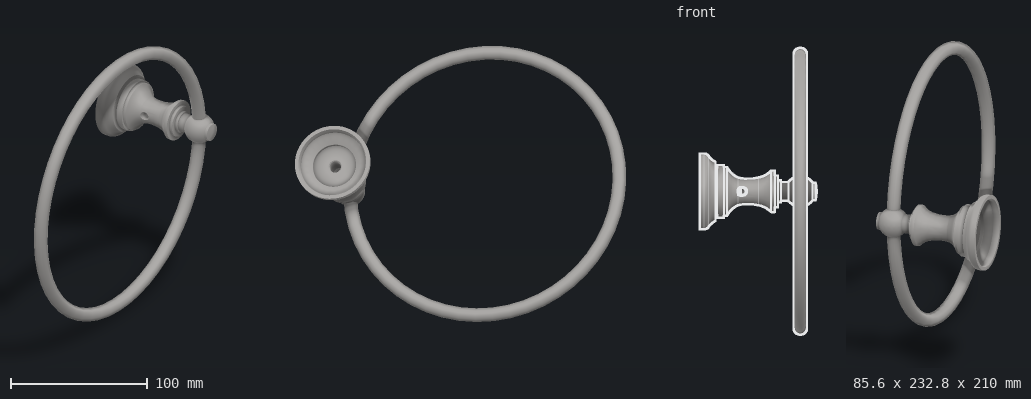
import cadquery as cq
import math


flange_radius = 55.5 / 2
flange_rim_length = 3.0
flange_round_end = (6.5, 26.0)
flange_front_radius = 21.6
flange_hollow_depth = 0.5
flange_length = 11.6
flange_bore_radius = 16.0
recess_mouth_radius = 25.1
recess_wall_radius = 24.0
recess_wall_length = 4.7
recess_cone_end = 8.8

seat_radius = 17.2
base_disc_start = 12.8
base_disc_radius = 19.3
base_step_start = 17.7
base_step_radius = 18.0
waist_start = 20.0
waist_radius = 9.3
waist_arc_start = (28.0, 10.2)
waist_arc_end = (42.8, 10.2)
waist_flare_bulge = 1.0
lip_start = 52.1
lip_radius = 15.1
lip_end = 55.0
lip_crown = 0.2
large_collar_radius = 11.6
large_collar_end = 57.2
small_collar_radius = 8.1
small_collar_end = 59.3
neck_radius = 7.0

bore_mouth_radius = 5.0
bore_chamfer = 0.7
bore_shoulder_start = 28.9
bore_shoulder_end = 30.2
pilot_radius = 2.3
pilot_end = 36.0
pilot_tip_angle = 118.0
screw_hole_mouth_radius = 3.5
screw_hole_radius = 2.5
screw_hole_cone_start = 8.4
screw_hole_cone_end = 9.3
screw_hole_x = 31.2

ball_radius = 11.2
ball_x = 73.5
button_start = 82.5
button_rim_x = 84.7
button_rim_radius = 6.5
button_end = 85.6

ring_tube_radius = 10.0 / 2
ring_outer_radius = 105.0
ring_radius = ring_outer_radius - ring_tube_radius

neck_end = ball_x - math.sqrt(ball_radius**2 - neck_radius**2)


def turned(profile):
    """Revolve a closed XY profile about the X axis."""
    return profile.close().revolve(360, (0, 0, 0), (1, 0, 0))


def arc_middle(start, end, bulge):
    """Midpoint of an arc whose middle lies `bulge` to the left of the chord from start to end."""
    chord_x = end[0] - start[0]
    chord_y = end[1] - start[1]
    chord = math.hypot(chord_x, chord_y)
    return (
        (start[0] + end[0]) / 2 - bulge * chord_y / chord,
        (start[1] + end[1]) / 2 + bulge * chord_x / chord,
    )


def make_flange():
    front_edge = (flange_length, flange_front_radius)
    return turned(
        cq.Workplane("XY")
        .moveTo(0, recess_mouth_radius)
        .lineTo(0, flange_radius)
        .lineTo(flange_rim_length, flange_radius)
        .tangentArcPoint(flange_round_end, relative=False)
        .threePointArc(arc_middle(flange_round_end, front_edge, -flange_hollow_depth), front_edge)
        .lineTo(flange_length, flange_bore_radius)
        .lineTo(recess_cone_end, flange_bore_radius)
        .lineTo(recess_wall_length, recess_wall_radius)
    )


def make_mounting_bore():
    """Chamfered blind bore that narrows through a conical shoulder to a pilot hole."""
    bore_radius = bore_mouth_radius - bore_chamfer
    tip_length = pilot_radius / math.tan(math.radians(pilot_tip_angle / 2))
    return turned(
        cq.Workplane("XY")
        .moveTo(flange_length, 0)
        .lineTo(flange_length, bore_mouth_radius)
        .lineTo(flange_length + bore_chamfer, bore_radius)
        .lineTo(bore_shoulder_start, bore_radius)
        .lineTo(bore_shoulder_end, pilot_radius)
        .lineTo(pilot_end, pilot_radius)
        .lineTo(pilot_end + tip_length, 0)
    )


def make_screw_hole():
    """Countersunk hole from the -Y side of the post to its axis."""
    return (
        cq.Workplane("XY", origin=(screw_hole_x, 0, 0))
        .lineTo(screw_hole_radius, 0)
        .lineTo(screw_hole_radius, -screw_hole_cone_start)
        .lineTo(screw_hole_mouth_radius, -screw_hole_cone_end)
        .lineTo(screw_hole_mouth_radius, -lip_radius)
        .lineTo(0, -lip_radius)
        .close()
        .revolve(360, (0, 0, 0), (0, 1, 0))
    )


def make_post():
    waist_middle = (waist_arc_start[0] + waist_arc_end[0]) / 2
    flare_start = (waist_start, base_step_radius)
    lip_back = (lip_start, lip_radius)
    lip_front = (lip_end, lip_radius)
    body = turned(
        cq.Workplane("XY")
        .moveTo(flange_length, 0)
        .lineTo(flange_length, seat_radius)
        .lineTo(base_disc_start, seat_radius)
        .lineTo(base_disc_start, base_disc_radius)
        .lineTo(base_step_start, base_disc_radius)
        .lineTo(base_step_start, base_step_radius)
        .lineTo(waist_start, base_step_radius)
        .threePointArc(arc_middle(flare_start, waist_arc_start, -waist_flare_bulge), waist_arc_start)
        .threePointArc((waist_middle, waist_radius), waist_arc_end)
        .threePointArc(arc_middle(waist_arc_end, lip_back, -waist_flare_bulge), lip_back)
        .threePointArc(arc_middle(lip_back, lip_front, lip_crown), lip_front)
        .lineTo(lip_end, large_collar_radius)
        .lineTo(large_collar_end, large_collar_radius)
        .lineTo(large_collar_end, small_collar_radius)
        .lineTo(small_collar_end, small_collar_radius)
        .lineTo(small_collar_end, neck_radius)
        .lineTo(neck_end, neck_radius)
        .lineTo(neck_end, 0)
    )
    return body.cut(make_mounting_bore()).cut(make_screw_hole())


def make_ring():
    return cq.Workplane("XY").add(
        cq.Solid.makeTorus(
            ring_radius, ring_tube_radius, cq.Vector(ball_x, -ring_radius, 0), cq.Vector(1, 0, 0)
        )
    )


def make_ball(ring):
    """Ball cut flat where it meets the neck, with a domed button and a channel for the ring."""
    button_base_radius = math.sqrt(ball_radius**2 - (button_start - ball_x) ** 2)
    dome_height = button_end - button_rim_x
    dome_radius = (button_rim_radius**2 + dome_height**2) / (2 * dome_height)
    dome_middle_radius = button_rim_radius / 2
    dome_middle_x = button_end - dome_radius + math.sqrt(dome_radius**2 - dome_middle_radius**2)
    body = turned(
        cq.Workplane("XY")
        .moveTo(neck_end, 0)
        .lineTo(neck_end, neck_radius)
        .threePointArc((ball_x, ball_radius), (button_start, button_base_radius))
        .lineTo(button_rim_x, button_rim_radius)
        .threePointArc((dome_middle_x, dome_middle_radius), (button_end, 0))
    )
    return body.cut(ring)


flange = make_flange()
post = make_post()
ring = make_ring()
ball = make_ball(ring)

result = cq.Compound.makeCompound([flange.val(), post.solids().val(), ring.val(), ball.solids().val()])